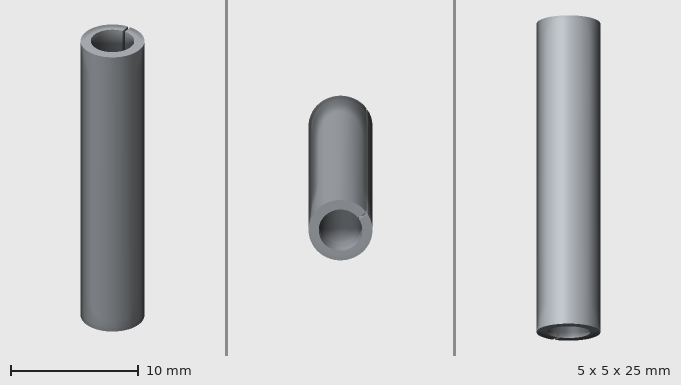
import cadquery as cq

length = 25.0
outer_diameter = 5.0
bore_diameter = 3.4
slot_width = 0.2

outer_radius = outer_diameter / 2

tube = (
    cq.Workplane("XY")
    .circle(outer_radius)
    .circle(bore_diameter / 2)
    .extrude(length)
)

slot = cq.Workplane("XY").box(slot_width, outer_diameter, length, centered=(True, False, False))

result = tube.cut(slot)